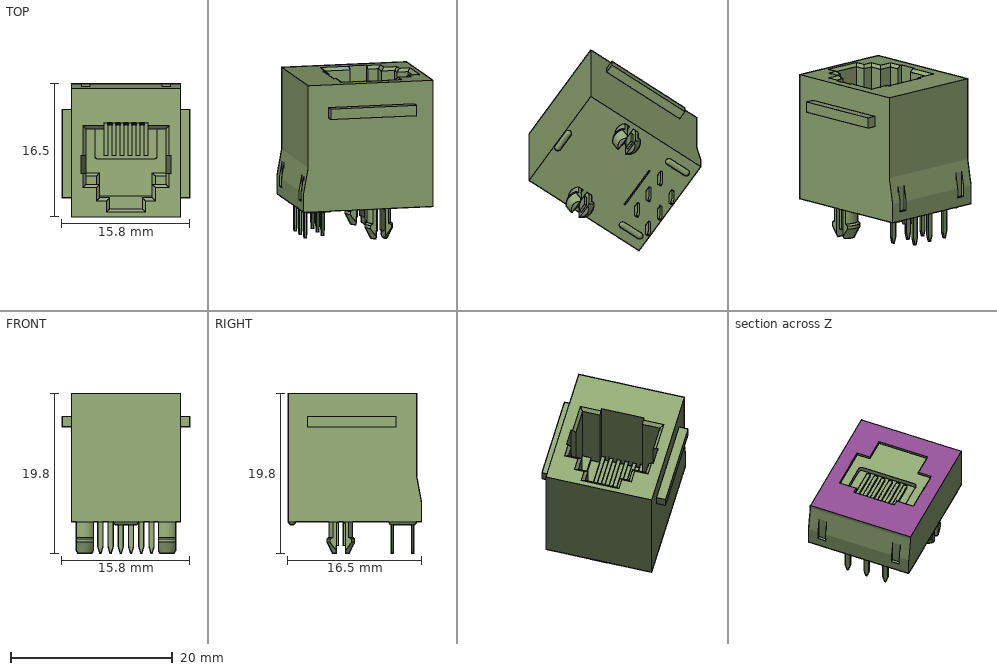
import cadquery as cq


HOUSING_WIDTH = 13.5
HOUSING_HEIGHT = 15.85
HOUSING_DEPTH = 16.5
BACK_STEP = 0.6
SLOPE_BOTTOM = 2.33
SLOPE_TOP = 5.57

OVERALL_WIDTH = 15.8
RAIL_FRONT = 2.37
RAIL_BACK = 13.31
RAIL_BOTTOM = 11.71
RAIL_HEIGHT = 1.3

BACK_NOTCH_OFFSET = 4.95
BACK_NOTCH_WIDTH = 1.03
BACK_NOTCH_DEPTH = 0.35
BACK_NOTCH_FLOOR = 1.18

PLUG_HALF_WIDTH = 4.94
PLUG_FRONT = 4.05
LATCH_HALF_WIDTH = 3.24
LATCH_FRONT = 2.39
KEY_HALF_WIDTH = 2.01
KEY_FRONT = 1.0
CAVITY_BACK = 10.9
CAVITY_FLOOR = 5.73
LATCH_FLOOR = 6.32
LATCH_FLOOR_BACK = 2.6
LEAD_IN = 0.4

SHOULDER_TOP = 7.9
SHOULDER_BACK = 5.45

GROOVE_FRONT = 5.37
GROOVE_BACK = 7.62
GROOVE_DEPTH = 0.61
GROOVE_RAMP_TOP = 10.78
GROOVE_RAMP_BOTTOM = CAVITY_FLOOR

CONTACT_COUNT = 6
BLADE_PITCH = 0.99
BLADE_WIDTH = 0.47
BLADE_FRONT = 7.6
PIN_PITCH = 1.26
PIN_WIDTH = 0.65
METAL_THICKNESS = 0.3
PIN_LENGTH = 3.9
PIN_TAPER_LENGTH = 0.8
PIN_TIP_WIDTH = 0.15
REAR_ROW = 15.39
FRONT_ROW = 12.85

POCKET_HALF_WIDTH = 3.85
POCKET_FRONT = 7.17
POCKET_CORNER_RADIUS = 0.4
POCKET_FLOOR = 5.14
RECESS_BACK = 11.63
RECESS_HALF_WIDTH = ((CONTACT_COUNT - 1) * BLADE_PITCH + BLADE_WIDTH) / 2
SLIT_WIDTH = 0.15
SLIT_CHAMFER = 0.12

PEG_OFFSET = 5.08
PEG_Y = 6.5
PEG_SHAFT_RADIUS = 1.46
PEG_BARB_RADIUS = 1.72
PEG_TIP_RADIUS = 1.05
PEG_SHAFT_LENGTH = 1.92
PEG_BARB_START = 2.13
PEG_BARB_END = 2.53
PEG_LENGTH = PIN_LENGTH
PEG_FLAT_WIDTH = 2.17
PEG_SLOT_WIDTH = 1.13
PEG_SLOT_ROOT_RADIUS = 0.38
PEG_RIB_GAP = 0.55
PEG_RIB_THICKNESS = 1.1
PEG_RIB_LENGTH = 2.96

FOOT_WIDTH = 0.83
FOOT_HEIGHT = 0.4
FOOT_ROUNDING = 0.35
FRONT_FOOT_LENGTH = 3.08
FRONT_FOOT_Y = 0.47
REAR_FOOT_LENGTH = 3.4
REAR_FOOT_Y = 14.15


def box(x_range, y_range, z_range):
    """Block between the given pairs of limits."""
    size = [high - low for low, high in (x_range, y_range, z_range)]
    corner = (x_range[0], y_range[0], z_range[0])
    return cq.Workplane("XY").box(*size, centered=False).translate(corner)


def mirrored_pair(shape):
    """The shape together with its mirror image across the mid-plane X = 0."""
    return shape.union(shape.mirror("YZ"))


def housing_block():
    """Block whose back wall steps outwards over a slope near the underside."""
    back_top = HOUSING_DEPTH - BACK_STEP
    profile = [
        (0, 0),
        (HOUSING_DEPTH, 0),
        (HOUSING_DEPTH, SLOPE_BOTTOM),
        (back_top, SLOPE_TOP),
        (back_top, HOUSING_HEIGHT),
        (0, HOUSING_HEIGHT),
    ]
    return cq.Workplane("YZ").polyline(profile).close().extrude(HOUSING_WIDTH / 2, both=True)


def side_rails():
    """Straight rails across both sides, as one bar through the housing."""
    return box(
        (-OVERALL_WIDTH / 2, OVERALL_WIDTH / 2),
        (RAIL_FRONT, RAIL_BACK),
        (RAIL_BOTTOM, RAIL_BOTTOM + RAIL_HEIGHT),
    )


def back_notches():
    """Two notches in the back face, open upwards through the slope."""
    notch = box(
        (BACK_NOTCH_OFFSET - BACK_NOTCH_WIDTH / 2, BACK_NOTCH_OFFSET + BACK_NOTCH_WIDTH / 2),
        (HOUSING_DEPTH - BACK_NOTCH_DEPTH, HOUSING_DEPTH),
        (BACK_NOTCH_FLOOR, SLOPE_TOP),
    )
    return mirrored_pair(notch)


def cavity_outline(margin):
    """Stepped outline of the plug cavity, grown by the margin."""
    plug = PLUG_HALF_WIDTH + margin
    latch = LATCH_HALF_WIDTH + margin
    key = KEY_HALF_WIDTH + margin
    right = [
        (key, KEY_FRONT - margin),
        (key, LATCH_FRONT - margin),
        (latch, LATCH_FRONT - margin),
        (latch, PLUG_FRONT - margin),
        (plug, PLUG_FRONT - margin),
        (plug, CAVITY_BACK + margin),
    ]
    left = [(-x, y) for x, y in reversed(right)]
    return right + left


def shoulders():
    """Corner blocks left standing in the cavity, chamfered on their two free top edges."""
    shoulder = box(
        (LATCH_HALF_WIDTH, PLUG_HALF_WIDTH), (PLUG_FRONT, SHOULDER_BACK), (CAVITY_FLOOR, SHOULDER_TOP)
    )
    shoulder = shoulder.faces(">Z").edges("<X or >Y").chamfer(LEAD_IN)
    return mirrored_pair(shoulder)


def plug_cavity():
    """Cavity with its lead-in chamfer, stepped floor and corner shoulders."""
    inner = cavity_outline(0)
    mouth = cavity_outline(LEAD_IN)
    well = (
        cq.Workplane("XY").workplane(offset=CAVITY_FLOOR)
        .polyline(inner).close().extrude(HOUSING_HEIGHT - CAVITY_FLOOR)
    )
    lead_in = (
        cq.Workplane("XY").workplane(offset=HOUSING_HEIGHT - LEAD_IN).polyline(inner).close()
        .workplane(offset=LEAD_IN).polyline(mouth).close()
        .loft(ruled=True)
    )
    latch_step = box(
        (-LATCH_HALF_WIDTH, LATCH_HALF_WIDTH), (KEY_FRONT, LATCH_FLOOR_BACK), (CAVITY_FLOOR, LATCH_FLOOR)
    )
    return well.cut(latch_step).cut(shoulders()).union(lead_in)


def side_grooves():
    """Grooves in the side walls, running out on a ramp towards the floor."""
    profile = [
        (PLUG_HALF_WIDTH, GROOVE_RAMP_BOTTOM),
        (PLUG_HALF_WIDTH + GROOVE_DEPTH, GROOVE_RAMP_TOP),
        (PLUG_HALF_WIDTH + GROOVE_DEPTH, HOUSING_HEIGHT),
        (PLUG_HALF_WIDTH, HOUSING_HEIGHT),
    ]
    groove = (
        cq.Workplane("XZ", origin=(0, GROOVE_BACK, 0))
        .polyline(profile).close().extrude(GROOVE_BACK - GROOVE_FRONT)
    )
    return mirrored_pair(groove)


def contact_clearance():
    """Floor pocket under the blades, recess behind them, and slit down to the underside."""
    pocket = box(
        (-POCKET_HALF_WIDTH, POCKET_HALF_WIDTH), (POCKET_FRONT, CAVITY_BACK), (POCKET_FLOOR, CAVITY_FLOOR)
    )
    pocket = pocket.edges("|Z and <Y").fillet(POCKET_CORNER_RADIUS)
    slit_front = RECESS_BACK - SLIT_WIDTH
    profile = [
        (CAVITY_BACK, POCKET_FLOOR),
        (slit_front - SLIT_CHAMFER, POCKET_FLOOR),
        (slit_front, POCKET_FLOOR - SLIT_CHAMFER),
        (slit_front, 0),
        (RECESS_BACK, 0),
        (RECESS_BACK, HOUSING_HEIGHT),
        (CAVITY_BACK, HOUSING_HEIGHT),
    ]
    recess = cq.Workplane("YZ").polyline(profile).close().extrude(RECESS_HALF_WIDTH, both=True)
    return pocket.union(recess)


def peg():
    """Split snap-in peg: barbed round post with two flats, slotted along X."""
    profile = [
        (0, 0),
        (PEG_SHAFT_RADIUS, 0),
        (PEG_SHAFT_RADIUS, -PEG_SHAFT_LENGTH),
        (PEG_BARB_RADIUS, -PEG_BARB_START),
        (PEG_BARB_RADIUS, -PEG_BARB_END),
        (PEG_TIP_RADIUS, -PEG_LENGTH),
        (0, -PEG_LENGTH),
    ]
    post = cq.Workplane("XZ").polyline(profile).close().revolve(360, (0, 0, 0), (0, 1, 0))
    half_flat = PEG_FLAT_WIDTH / 2
    half_slot = PEG_SLOT_WIDTH / 2
    half_gap = PEG_RIB_GAP / 2
    half_rib = PEG_RIB_THICKNESS / 2
    across_flats = (-half_flat, half_flat)
    full_length = (-PEG_LENGTH, 0)
    post = post.intersect(box(across_flats, (-PEG_BARB_RADIUS, PEG_BARB_RADIUS), full_length))
    slot = box(across_flats, (-half_slot, half_slot), full_length)
    slot = slot.faces(">Z").edges("|X").fillet(PEG_SLOT_ROOT_RADIUS)
    ribs = box((-half_rib, half_rib), (-half_slot, half_slot), (-PEG_RIB_LENGTH, 0))
    gap = box(across_flats, (-half_gap, half_gap), full_length)
    return post.cut(slot).union(ribs).cut(gap)


def foot(length):
    """Round-ended standoff foot along X with a rounded lower edge."""
    blank = cq.Workplane("XY").slot2D(length, FOOT_WIDTH).extrude(-FOOT_HEIGHT)
    return blank.faces("<Z").edges().fillet(FOOT_ROUNDING)


def contact(index):
    """Contact: blade on the pocket floor, jogging sideways to a pointed pin in one of two rows."""
    place = index - (CONTACT_COUNT - 1) / 2
    blade_x = place * BLADE_PITCH
    pin_x = place * PIN_PITCH
    pin_y = REAR_ROW if index % 2 == 0 else FRONT_ROW
    jog_end = FRONT_ROW - METAL_THICKNESS / 2
    half_blade = BLADE_WIDTH / 2
    half_pin = PIN_WIDTH / 2
    half_tip = PIN_TIP_WIDTH / 2
    heel = pin_y + METAL_THICKNESS / 2
    blade_outline = [
        (blade_x - half_blade, BLADE_FRONT),
        (blade_x + half_blade, BLADE_FRONT),
        (blade_x + half_blade, RECESS_BACK),
        (pin_x + half_pin, jog_end),
        (pin_x + half_pin, heel),
        (pin_x - half_pin, heel),
        (pin_x - half_pin, jog_end),
        (blade_x - half_blade, RECESS_BACK),
    ]
    blade = (
        cq.Workplane("XY").workplane(offset=POCKET_FLOOR)
        .polyline(blade_outline).close().extrude(METAL_THICKNESS)
    )
    pin_outline = [
        (pin_x - half_pin, POCKET_FLOOR),
        (pin_x - half_pin, PIN_TAPER_LENGTH - PIN_LENGTH),
        (pin_x - half_tip, -PIN_LENGTH),
        (pin_x + half_tip, -PIN_LENGTH),
        (pin_x + half_pin, PIN_TAPER_LENGTH - PIN_LENGTH),
        (pin_x + half_pin, POCKET_FLOOR),
    ]
    pin = (
        cq.Workplane("XZ", origin=(0, heel, 0))
        .polyline(pin_outline).close().extrude(METAL_THICKNESS)
    )
    return blade.union(pin)


contacts = [contact(index) for index in range(CONTACT_COUNT)]

housing = housing_block().union(side_rails()).cut(back_notches())
housing = housing.cut(plug_cavity()).cut(side_grooves()).cut(contact_clearance())
for side in (-1, 1):
    housing = housing.union(peg().translate((side * PEG_OFFSET, PEG_Y, 0)))
    rear_foot = foot(REAR_FOOT_LENGTH).rotate((0, 0, 0), (0, 0, 1), 90)
    housing = housing.union(rear_foot.translate((side * PEG_OFFSET, REAR_FOOT_Y, 0)))
housing = housing.union(foot(FRONT_FOOT_LENGTH).translate((0, FRONT_FOOT_Y, 0)))
for seated_contact in contacts:
    housing = housing.cut(seated_contact)

result = cq.Compound.makeCompound([housing.val(), *[body.val() for body in contacts]])